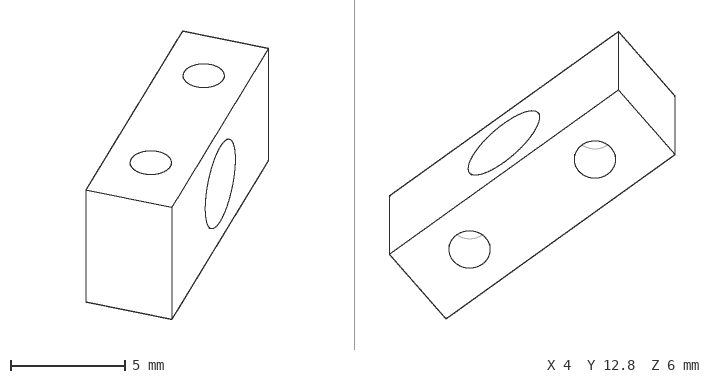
import cadquery as cq

width = 4.0
length = 12.8
height = 6.0

cross_bore_diameter = 4.0
screw_hole_diameter = 1.8
screw_hole_spacing = 7.0

block = cq.Workplane("XY").box(width, length, height)

cross_bore = cq.Workplane("YZ").circle(cross_bore_diameter / 2).extrude(width, both=True)

screw_holes = (
    cq.Workplane("XY")
    .rarray(0.13, screw_hole_spacing, 1, 2)
    .circle(screw_hole_diameter / 2)
    .extrude(height, both=True)
)

result = block.cut(cross_bore).cut(screw_holes)